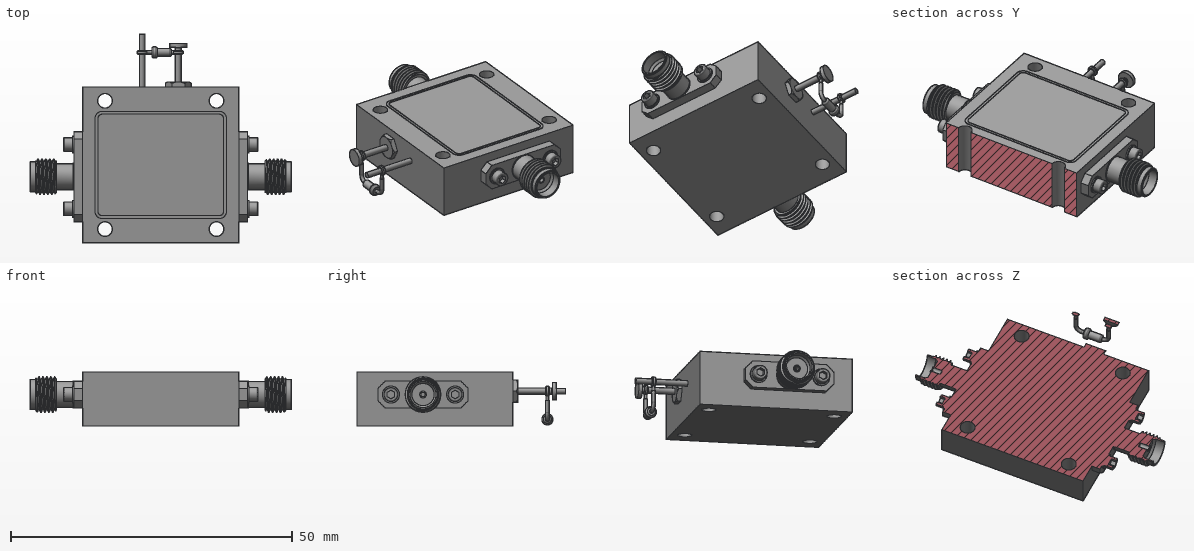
import cadquery as cq
import math

overall_length = 46.55
body_side = 27.75
body_height = 9.7
half_side = body_side / 2
half_height = body_height / 2
hole_diameter = 2.55
hole_span_x = 19.85
hole_span_y = 22.8

label_length = 23.35
label_width = 19.1
label_radius = 1.3
label_groove_width = 0.5
label_groove_depth = 0.1

connector_y = -2.1
connector_z = 0.8
connector_length = (overall_length - body_side) / 2
flange_length = 16.05
flange_height = 4.8
flange_thickness = 1.6
flange_chamfer = 1.3
barrel_diameter = 4.7
collar_length = 0.2
tip_diameter = 5.4
tip_length = 1.0
rim_chamfer = 0.15

thread_diameter = 6.35
thread_root_diameter = 5.6
thread_length = 3.75
thread_end_chamfer = 0.5
thread_clearance = 0.15
thread_pitch = 0.7
thread_turns = 7
thread_start = 4.3
thread_root_width = 0.6
thread_crest_width = 0.1
thread_embed = 0.15

bore_diameter = 4.65
bore_depth = 1.68
bore_floor_diameter = 3.95
bore_taper_depth = 0.45
contact_diameter = 1.2
contact_height = 0.2
contact_hole_diameter = 0.8
contact_hole_depth = 1.85

screw_spacing = 11.4
washer_diameter = 3.03
washer_thickness = 0.3
screw_head_diameter = 2.45
screw_head_height = 1.55
screw_head_fillet = 0.15
socket_across_corners = 1.55
socket_depth = 0.95

terminal_z = 1.4
supply_pin_x = -3.3
supply_pin_diameter = 1.02
supply_pin_length = 9.4
ground_post_x = 3.1
ground_post_diameter = 1.1
ground_post_length = 7.05
ground_post_chamfer = 0.15
post_cap_diameter = 3.1
post_cap_thickness = 0.7
nut_across_corners = 4.6
nut_height = 0.9
nut_chamfer = 0.3

capacitor_y = half_side + 6.15
capacitor_z = -3.65
capacitor_left = -1.6
capacitor_right = 1.9
capacitor_diameter = 1.45
capacitor_fillet = 0.33
bead_diameter = 2.0
bead_length = 1.0
bead_fillet = 0.33
ring_diameter = 1.75
ring_width = 0.7
ring_chamfer = 0.2
neck_diameter = 0.5
lead_diameter = 0.7
lead_top_z = -0.3
lead_bend_radius = 1.2


def cylinder(diameter, bottom, height):
    """Round bar on the local Z axis."""
    return cq.Workplane("XY").workplane(offset=bottom).circle(diameter / 2).extrude(height)


def bar_along_y(x, z, diameter, start, length):
    """Round bar parallel to Y, growing toward +Y from the given start."""
    plane = cq.Workplane("XZ", origin=(x, start, z))
    return plane.circle(diameter / 2).extrude(-length)


def label_slab(inset):
    """Rounded rectangular slab just under the top face, shrunk by the inset."""
    slab = cq.Workplane("XY").workplane(offset=half_height - label_groove_depth)
    slab = slab.rect(label_length - 2 * inset, label_width - 2 * inset).extrude(label_groove_depth)
    return slab.edges("|Z").fillet(label_radius - inset)


def make_housing():
    housing = cq.Workplane("XY").box(body_side, body_side, body_height)
    housing = housing.faces(">Z").workplane().rect(hole_span_x, hole_span_y, forConstruction=True)
    housing = housing.vertices().hole(hole_diameter)
    return housing.cut(label_slab(0).cut(label_slab(label_groove_width)))


def make_thread():
    """Threaded band with a helical ridge and chamfered ends."""
    root_radius = thread_root_diameter / 2 - thread_embed
    crest_radius = thread_diameter / 2
    helix = cq.Wire.makeHelix(thread_pitch, thread_pitch * thread_turns, root_radius)
    ridge = (
        cq.Workplane("XZ")
        .moveTo(root_radius, -thread_root_width / 2)
        .lineTo(crest_radius, -thread_crest_width / 2)
        .lineTo(crest_radius, thread_crest_width / 2)
        .lineTo(root_radius, thread_root_width / 2)
        .close()
        .sweep(cq.Workplane(helix), isFrenet=True)
    )
    ridge = ridge.translate((0, 0, thread_start))
    band_start = connector_length - tip_length - thread_length
    envelope = cylinder(thread_diameter + 2 * thread_clearance, band_start, thread_length)
    envelope = envelope.edges().chamfer(thread_end_chamfer)
    core = cylinder(thread_root_diameter, band_start, thread_length)
    return core.union(ridge.intersect(envelope))


def make_screw():
    """Washer and hexagon-socket head, seated on the flange."""
    head_top = flange_thickness + washer_thickness + screw_head_height
    head = cylinder(screw_head_diameter, flange_thickness, head_top - flange_thickness)
    head = head.faces(">Z").edges().fillet(screw_head_fillet)
    socket = cq.Workplane("XY").workplane(offset=head_top - socket_depth)
    socket = socket.polygon(6, socket_across_corners).extrude(socket_depth)
    return head.union(cylinder(washer_diameter, flange_thickness, washer_thickness)).cut(socket)


def make_connector():
    connector = cq.Workplane("XY").rect(flange_height, flange_length).extrude(flange_thickness)
    connector = connector.edges("|Z").chamfer(flange_chamfer)
    connector = connector.union(cylinder(flange_height, flange_thickness, collar_length))
    connector = connector.union(cylinder(barrel_diameter, 0, connector_length - tip_length))

    tip = cylinder(tip_diameter, connector_length - tip_length, tip_length)
    tip = tip.faces(">Z").edges().chamfer(rim_chamfer)
    connector = connector.union(make_thread()).union(tip)

    taper_start = connector_length - bore_depth
    bore_floor = taper_start - bore_taper_depth
    contact_top = bore_floor + contact_height
    connector = connector.cut(cylinder(bore_diameter, taper_start, bore_depth))
    taper = cq.Workplane("XY").workplane(offset=bore_floor).circle(bore_floor_diameter / 2)
    taper = taper.workplane(offset=bore_taper_depth).circle(bore_diameter / 2).loft()
    connector = connector.cut(taper)
    connector = connector.union(cylinder(contact_diameter, bore_floor, contact_height))
    connector = connector.cut(
        cylinder(contact_hole_diameter, contact_top - contact_hole_depth, contact_hole_depth)
    )

    for side in (-1, 1):
        connector = connector.union(make_screw().translate((0, side * screw_spacing / 2, 0)))
    return connector


def make_ground_post():
    """Post with a hexagon nut at its root and a round cap at its tip."""
    post = bar_along_y(ground_post_x, terminal_z, ground_post_diameter, half_side, ground_post_length)
    post = post.faces(">Y").edges().chamfer(ground_post_chamfer)
    cap_start = half_side + ground_post_length
    cap = bar_along_y(ground_post_x, terminal_z, post_cap_diameter, cap_start, post_cap_thickness)

    nut = cq.Workplane("XZ", origin=(ground_post_x, half_side, terminal_z))
    nut = nut.polygon(6, nut_across_corners).extrude(-nut_height)
    envelope = bar_along_y(ground_post_x, terminal_z, nut_across_corners, half_side, nut_height)
    nut = nut.intersect(envelope.faces(">Y").edges().chamfer(nut_chamfer))
    return post.union(cap).union(nut)


def make_lead(terminal_x, direction, end_x):
    """Ring around a terminal, with a lead that drops and bends along X into the capacitor."""
    ring = bar_along_y(terminal_x, terminal_z, ring_diameter, capacitor_y - ring_width / 2, ring_width)
    ring = ring.edges().chamfer(ring_chamfer)
    neck = cylinder(neck_diameter, lead_top_z, terminal_z - lead_top_z)
    neck = neck.translate((terminal_x, capacitor_y, 0))

    bend_middle = lead_bend_radius * (1 - math.sqrt(0.5))
    path = (
        cq.Workplane("XZ", origin=(terminal_x, capacitor_y, 0))
        .moveTo(0, lead_top_z)
        .lineTo(0, capacitor_z + lead_bend_radius)
        .threePointArc(
            (direction * bend_middle, capacitor_z + bend_middle),
            (direction * lead_bend_radius, capacitor_z),
        )
        .lineTo(end_x - terminal_x, capacitor_z)
    )
    lead = cq.Workplane("XY", origin=(terminal_x, capacitor_y, lead_top_z))
    lead = lead.circle(lead_diameter / 2).sweep(path)
    return ring.union(neck).union(lead)


def make_capacitor():
    axis = cq.Workplane("YZ", origin=(capacitor_left, capacitor_y, capacitor_z))
    case = axis.circle(capacitor_diameter / 2).extrude(capacitor_right - capacitor_left)
    case = case.faces(">X").edges().fillet(capacitor_fillet)
    bead = axis.circle(bead_diameter / 2).extrude(bead_length).edges().fillet(bead_fillet)
    middle_x = (capacitor_left + capacitor_right) / 2
    capacitor = case.union(bead)
    capacitor = capacitor.union(make_lead(supply_pin_x, 1, middle_x))
    return capacitor.union(make_lead(ground_post_x, -1, middle_x))


left_connector = make_connector().rotate((0, 0, 0), (0, 1, 0), -90)
right_connector = left_connector.rotate((0, 0, 0), (0, 0, 1), 180)

result = make_housing()
result = result.union(left_connector.translate((-half_side, connector_y, connector_z)))
result = result.union(right_connector.translate((half_side, connector_y, connector_z)))
result = result.union(
    bar_along_y(supply_pin_x, terminal_z, supply_pin_diameter, half_side, supply_pin_length)
)
result = result.union(make_ground_post())
result = result.union(make_capacitor())